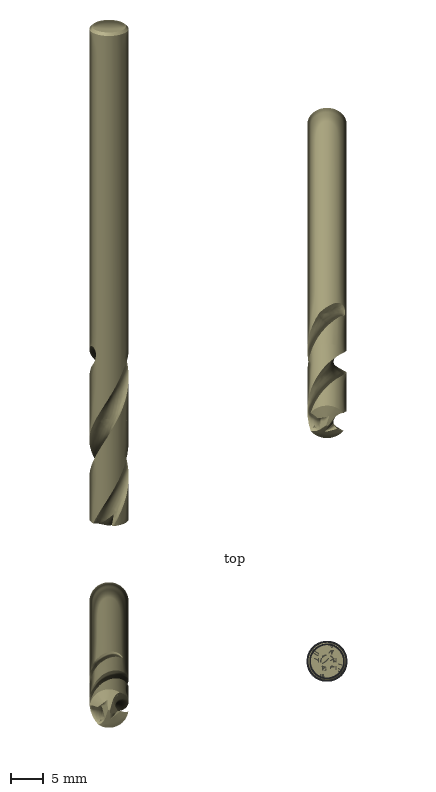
import cadquery as cq
import math

length = 82.0
diameter = 6.0
radius = diameter / 2
end_chamfer = 0.4

point_angle = 140.0
tip_length = 17.9
point_height = radius / math.tan(math.radians(point_angle / 2))

flute_count = 2
helix_angle = 30.0
flute_radius = 1.6
flute_offset = 2.6
flute_start_angle = -88.0
flute_top = 26.6
runout_height = 3.5
runout_sideways = 3.0
runout_outward = 0.9
lead = math.pi * diameter / math.tan(math.radians(helix_angle))
flute_twist = 360.0 * flute_top / lead

gash_root = (1.3, 0.65, 0.6)
gash_tilt = 36.0
gash_floor_angle = 38.0
gash_width = 2.1
gash_depth = 4.1
gash_below = 1.6
gash_above = 2.6


def flute_section(angle, height):
    """Flute circle in a horizontal plane, in the given direction from the axis."""
    x = flute_offset * math.cos(math.radians(angle))
    y = flute_offset * math.sin(math.radians(angle))
    return cq.Workplane("XY").workplane(offset=height).moveTo(x, y).circle(flute_radius)


def make_twisted_flute(start_angle):
    section = flute_section(start_angle, 0)
    return section.twistExtrude(flute_top, flute_twist)


def make_flute_runout(start_angle):
    """Straight end of a flute, leaning outward and sideways until it leaves the drill."""
    end_angle = start_angle + flute_twist
    direction = math.radians(end_angle)
    travel = cq.Vector(
        runout_outward * math.cos(direction) - runout_sideways * math.sin(direction),
        runout_outward * math.sin(direction) + runout_sideways * math.cos(direction),
        runout_height,
    )
    wire = flute_section(end_angle, flute_top).wires().val()
    return cq.Workplane(cq.Solid.extrudeLinear(wire, [], travel))


def cut_flutes(body):
    for index in range(flute_count):
        start_angle = flute_start_angle + index * 360.0 / flute_count
        body = body.cut(make_twisted_flute(start_angle))
        body = body.cut(make_flute_runout(start_angle))
    return body


def make_gash():
    """V-groove with a wall parallel to the drill axis and a sloping floor."""
    tilt = math.radians(gash_tilt)
    root_direction = cq.Vector(0, -math.sin(tilt), math.cos(tilt))
    floor_drop = gash_width * math.tan(math.radians(gash_floor_angle))
    plane = cq.Plane(gash_root, xDir=(1, 0, 0), normal=root_direction)
    return (
        cq.Workplane(plane)
        .workplane(offset=-gash_below)
        .polyline([(0, 0), (-gash_width, -floor_drop), (-gash_width, -gash_depth), (0, -gash_depth)])
        .close()
        .extrude(gash_below + gash_above)
    )


def make_tip():
    """Cutting tip with a conical point standing on the origin."""
    profile = (
        cq.Workplane("XZ")
        .polyline([(0, 0), (radius, point_height), (radius, tip_length), (0, tip_length)])
        .close()
    )
    body = cut_flutes(profile.revolve(360, (0, 0, 0), (0, 1, 0)))
    for index in range(flute_count):
        body = body.cut(make_gash().rotate((0, 0, 0), (0, 0, 1), index * 360.0 / flute_count))
    return body


def make_shank():
    """Shank with a chamfered top end, carrying the upper part of the flutes."""
    blank = cq.Workplane("XY").workplane(offset=tip_length).circle(radius).extrude(length - tip_length)
    return cut_flutes(blank.faces(">Z").chamfer(end_chamfer))


tip = make_tip()
shank = make_shank()

result = cq.Compound.makeCompound([tip.val(), shank.val()])